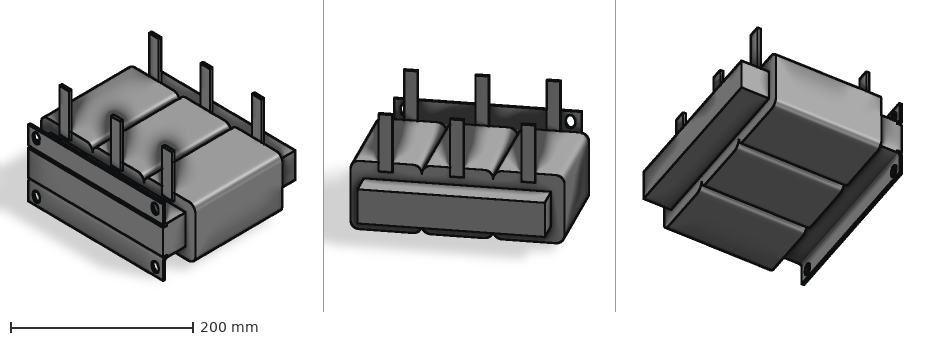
import cadquery as cq
import math

coil_count = 3
total_width = 240.0
coil_pitch = total_width / coil_count
coil_depth = 135.0
coil_height = 80.2
coil_corner_radius = 10.0

core_width = 210.0
core_depth = 205.0
core_height = 40.0
core_front = -core_depth / 2

sheet = 3.0
bend_inner_radius = 3.0
bend_outer_radius = bend_inner_radius + sheet
flange_span = 104.0
hole_width = 11.0
hole_height = 15.4
hole_edge_distance = 12.5
hole_spacing_z = 79.2

terminal_width = 15.0
terminal_thickness = 4.0
overall_height = 150.0
terminal_top = overall_height - flange_span / 2
terminal_bottom = coil_height / 2 - coil_corner_radius
terminal_length = terminal_top - terminal_bottom
terminal_foot_radius = 2.5

coil_centers = [(i - (coil_count - 1) / 2) * coil_pitch for i in range(coil_count)]


def make_coil(x):
    """Winding block with its four long edges rounded."""
    block = cq.Workplane("XY").box(coil_pitch, coil_depth, coil_height)
    return block.edges("|Y").fillet(coil_corner_radius).translate((x, 0, 0))


def make_upper_bracket():
    """L-shaped sheet: a leg lying on the core, a bend, and an upright flange."""
    leg_bottom = core_height / 2
    leg_top = leg_bottom + sheet
    leg_back = -coil_depth / 2
    flange_back = core_front + sheet
    bend_y = core_front + bend_outer_radius
    bend_z = leg_bottom + bend_outer_radius
    diagonal = math.sqrt(0.5)
    outer_mid = (bend_y - bend_outer_radius * diagonal, bend_z - bend_outer_radius * diagonal)
    inner_mid = (bend_y - bend_inner_radius * diagonal, bend_z - bend_inner_radius * diagonal)
    return (
        cq.Workplane("YZ")
        .moveTo(leg_back, leg_bottom)
        .lineTo(bend_y, leg_bottom)
        .threePointArc(outer_mid, (core_front, bend_z))
        .lineTo(core_front, flange_span / 2)
        .lineTo(flange_back, flange_span / 2)
        .lineTo(flange_back, bend_z)
        .threePointArc(inner_mid, (bend_y, leg_top))
        .lineTo(leg_back, leg_top)
        .close()
        .extrude(core_width / 2, both=True)
    )


def make_mounting_holes():
    """Upright elliptical mounting holes, one near each corner of the two flanges."""
    return (
        cq.Workplane("XZ", origin=(0, core_front + sheet, 0))
        .rect(core_width - 2 * hole_edge_distance, hole_spacing_z, forConstruction=True)
        .vertices()
        .ellipse(hole_width / 2, hole_height / 2)
        .extrude(sheet)
    )


def make_terminal(x, side):
    """Flat bar on the front (side = -1) or back (side = 1) face of a coil, rounded at its outer foot."""
    y = side * (coil_depth + terminal_thickness) / 2
    z = terminal_bottom + terminal_length / 2
    bar = cq.Workplane("XY").box(terminal_width, terminal_thickness, terminal_length)
    outer_face = ">Y" if side > 0 else "<Y"
    bar = bar.faces(outer_face).edges("<Z").fillet(terminal_foot_radius)
    return bar.translate((x, y, z))


result = cq.Workplane("XY").box(core_width, core_depth, core_height)

for center in coil_centers:
    result = result.union(make_coil(center))
    for side in (-1, 1):
        result = result.union(make_terminal(center, side))

upper_bracket = make_upper_bracket()
result = result.union(upper_bracket).union(upper_bracket.mirror("XY"))
result = result.cut(make_mounting_holes())